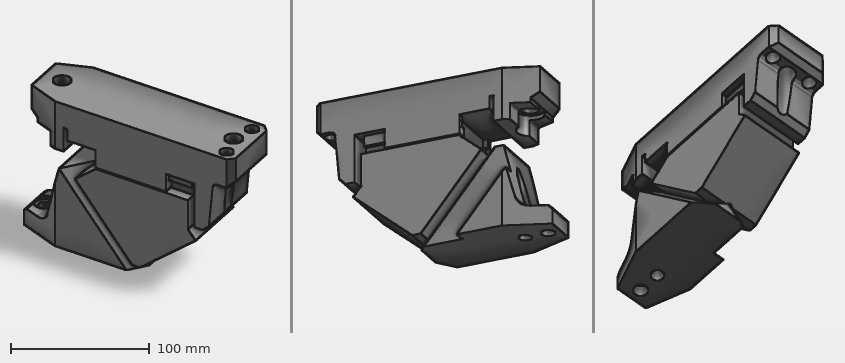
import cadquery as cq
import math

LENGTH = 184.0
WIDTH = 52.0
HEIGHT = 125.0
FRONT_WIDTH = 27.2
TAPER_LENGTH = 34.0
SLIDE_ANGLE = math.radians(50.0)
ROOF_ANGLE = math.radians(30.0)
FAR = 2 * LENGTH

BASE_LENGTH = 104.9
BASE_TOP = 68.0
SLIDE_FOOT_X = 94.4
FOOT_HEIGHT = 14.9
FOOT_CHAMFER_X = 3.0
FOOT_CHAMFER_Z = 2.5
FRONT_FOOT_X = 23.4
FRONT_FILLET = 11.0
NOTCH_DEPTH_X = 24.1
NOTCH_WALL_Y = 17.0
FOOT_BOLT_X = 9.8
FOOT_BOLT_DIAMETER = 10.7
FOOT_BORE_DIAMETER = 17.1
FOOT_BORE_FLOOR = 12.0
STEEP_BOLT_X = 28.2
STEEP_BOLT_DIAMETER = 9.8
STEEP_BORE_DIAMETER = 12.0
STEEP_BORE_FLOOR = 14.5

SLIDER_OFFSET = 7.5
SLIDER_CORNER_Z = 63.7
SLIDER_TOP = 78.4
SLIDER_END_X = 146.5
SLIDER_BOTTOM = 6.3
SLIDER_BOTTOM_LENGTH = 7.0
NOSE_Z = 45.6
RAIL_START_X = 71.5
RAIL_NECK_WIDTH = 35.9
RAIL_HEAD_WIDTH = 42.3
RAIL_HEAD_BOTTOM = 86.5

HOLDER_START_X = 8.5
HOLDER_END_CHAMFER = 5.0
BODY_BOTTOM = 94.5
ENDS_BOTTOM = 100.3
LIP_BOTTOM = 104.9
FRONT_STEP_X = 14.9
FRONT_STEP_Z = 96.8
FRONT_STEP_FILLET = 1.1
FRONT_HOOK_X = 28.9
FRONT_HOOK_BOTTOM = 84.0
RELIEF_START_X = 41.0
RELIEF_END_X = 44.3
RELIEF_TOP = 104.3
RELIEF_FILLET = 1.0
JAW_START_X = 68.0
JAW_END_X = 127.9
JAW_BOTTOM = 79.5
RAIL_SIDE_GAP = 0.7
REAR_HOOK_X = 151.8
REAR_HOOK_BOTTOM = 57.0
REAR_HOOK_BOTTOM_LENGTH = 7.4
REAR_HOOK_CHAMFER = 5.0
REAR_HOOK_TOP_X = 167.6
REAR_HOOK_FILLET = 4.2
MAIN_BOLT_DIAMETER = 13.5
FRONT_BOLT_X = 24.0
FRONT_BORE_DIAMETER = 20.8
REAR_BOLT_X = 169.1
SIDE_BOLT_X = 173.9
SIDE_BOLT_Y = 17.5
SIDE_BOLT_DIAMETER = 10.3


def half_width(x):
    """Half of the width that base and holder share at a given X."""
    return (FRONT_WIDTH + (WIDTH - FRONT_WIDTH) * min(x / TAPER_LENGTH, 1.0)) / 2


def side_profile(points):
    """A side outline in XZ extruded across the full width."""
    return cq.Workplane("XZ").polyline(points).close().extrude(WIDTH / 2, both=True)


def plan_prism(upper_points):
    """A tall prism from the +Y half of a plan outline that is symmetric about Y = 0."""
    lower_points = [(x, -y) for x, y in reversed(upper_points)]
    return cq.Workplane("XY").polyline(upper_points + lower_points).close().extrude(HEIGHT)


def box(x_range, y_range, z_range):
    """An axis-aligned block between the given limits."""
    size = [high - low for low, high in (x_range, y_range, z_range)]
    corner = (x_range[0], y_range[0], z_range[0])
    return cq.Workplane("XY").box(*size, centered=False).translate(corner)


def bore(x, y, diameter, bottom, top):
    """A vertical cylinder used to cut holes."""
    return cq.Workplane("XY", origin=(x, y, bottom)).circle(diameter / 2).extrude(top - bottom)


def guide_prism():
    """The inclined roof-shaped guide and everything below it."""
    uphill = (-math.cos(SLIDE_ANGLE), 0, math.sin(SLIDE_ANGLE))
    section = cq.Plane(origin=(SLIDE_FOOT_X, 0, 0), xDir=(0, -1, 0), normal=uphill)
    ridge = WIDTH / 2 * math.tan(ROOF_ANGLE)
    half = WIDTH / 2
    outline = [(-half, -FAR), (half, -FAR), (half, 0), (0, ridge), (-half, 0)]
    return cq.Workplane(section).polyline(outline).close().extrude(FAR, both=True)


def make_base():
    top_x = SLIDE_FOOT_X - BASE_TOP / math.tan(SLIDE_ANGLE)
    block = side_profile([
        (0, 0),
        (BASE_LENGTH, 0),
        (BASE_LENGTH, BASE_TOP),
        (top_x, BASE_TOP),
        (FRONT_FOOT_X, FOOT_HEIGHT),
        (FOOT_CHAMFER_X, FOOT_HEIGHT),
        (0, FOOT_HEIGHT - FOOT_CHAMFER_Z),
    ])
    front_corner = cq.selectors.NearestToPointSelector((FRONT_FOOT_X, 0, FOOT_HEIGHT))
    block = block.edges("|Y").edges(front_corner).fillet(FRONT_FILLET)

    plan = plan_prism([
        (0, half_width(0)),
        (TAPER_LENGTH, WIDTH / 2),
        (BASE_LENGTH, WIDTH / 2),
    ])
    base = block.intersect(plan).intersect(guide_prism())

    notch_foot_x = SLIDE_FOOT_X - NOTCH_DEPTH_X
    notch_side = cq.Workplane("XZ", origin=(0, WIDTH, 0)).polyline([
        (notch_foot_x, 0),
        (FAR, 0),
        (FAR, HEIGHT),
        (notch_foot_x - HEIGHT / math.tan(SLIDE_ANGLE), HEIGHT),
    ]).close()
    base = base.cut(notch_side.extrude(WIDTH - NOTCH_WALL_Y))

    base = base.cut(bore(FOOT_BOLT_X, 0, FOOT_BOLT_DIAMETER, 0, HEIGHT))
    base = base.cut(bore(FOOT_BOLT_X, 0, FOOT_BORE_DIAMETER, FOOT_BORE_FLOOR, HEIGHT))
    base = base.cut(bore(STEEP_BOLT_X, 0, STEEP_BOLT_DIAMETER, 0, HEIGHT))
    return base.cut(bore(STEEP_BOLT_X, 0, STEEP_BORE_DIAMETER, STEEP_BORE_FLOOR, HEIGHT))


def make_slider():
    def sole_x(z):
        """X of the slider's inclined underside at height z."""
        return SLIDE_FOOT_X - z / math.tan(SLIDE_ANGLE) + SLIDER_OFFSET / math.sin(SLIDE_ANGLE)

    upper_end_x = sole_x(SLIDER_CORNER_Z) + (SLIDER_TOP - SLIDER_CORNER_Z) * math.tan(SLIDE_ANGLE)
    lower_end_x = sole_x(SLIDER_BOTTOM) + SLIDER_BOTTOM_LENGTH
    nose_x = lower_end_x + (NOSE_Z - SLIDER_BOTTOM) * math.tan(SLIDE_ANGLE)
    block = side_profile([
        (sole_x(SLIDER_CORNER_Z), SLIDER_CORNER_Z),
        (sole_x(SLIDER_BOTTOM), SLIDER_BOTTOM),
        (lower_end_x, SLIDER_BOTTOM),
        (nose_x, NOSE_Z),
        (SLIDER_END_X, NOSE_Z + (nose_x - SLIDER_END_X) * math.tan(SLIDE_ANGLE)),
        (SLIDER_END_X, SLIDER_TOP),
        (upper_end_x, SLIDER_TOP),
    ])
    rail_x = (RAIL_START_X, SLIDER_END_X)
    neck_y = (-RAIL_NECK_WIDTH / 2, RAIL_NECK_WIDTH / 2)
    head_y = (-RAIL_HEAD_WIDTH / 2, RAIL_HEAD_WIDTH / 2)
    neck = box(rail_x, neck_y, (SLIDER_TOP, RAIL_HEAD_BOTTOM))
    head = box(rail_x, head_y, (RAIL_HEAD_BOTTOM, BODY_BOTTOM))
    return block.cut(guide_prism()).union(neck).union(head)


def make_holder():
    hook_end_x = REAR_HOOK_X + REAR_HOOK_BOTTOM_LENGTH
    block = side_profile([
        (HOLDER_START_X, HEIGHT),
        (HOLDER_START_X, LIP_BOTTOM),
        (FRONT_STEP_X, ENDS_BOTTOM),
        (FRONT_STEP_X, FRONT_STEP_Z),
        (FRONT_HOOK_X, FRONT_STEP_Z),
        (FRONT_HOOK_X, FRONT_HOOK_BOTTOM),
        (RELIEF_START_X, FRONT_HOOK_BOTTOM),
        (RELIEF_START_X, RELIEF_TOP),
        (RELIEF_END_X, RELIEF_TOP),
        (RELIEF_END_X, BODY_BOTTOM),
        (JAW_START_X, BODY_BOTTOM),
        (JAW_START_X, JAW_BOTTOM),
        (JAW_END_X, JAW_BOTTOM),
        (JAW_END_X, BODY_BOTTOM),
        (REAR_HOOK_X, BODY_BOTTOM),
        (REAR_HOOK_X, REAR_HOOK_BOTTOM),
        (hook_end_x, REAR_HOOK_BOTTOM),
        (hook_end_x + REAR_HOOK_CHAMFER, REAR_HOOK_BOTTOM + REAR_HOOK_CHAMFER),
        (REAR_HOOK_TOP_X, ENDS_BOTTOM),
        (LENGTH - HOLDER_END_CHAMFER, ENDS_BOTTOM),
        (LENGTH, LIP_BOTTOM),
        (LENGTH, HEIGHT),
    ])
    rounded_corners = [
        (FRONT_HOOK_X, FRONT_STEP_Z, FRONT_STEP_FILLET),
        (RELIEF_END_X, RELIEF_TOP, RELIEF_FILLET),
        (REAR_HOOK_TOP_X, ENDS_BOTTOM, REAR_HOOK_FILLET),
    ]
    for x, z, radius in rounded_corners:
        corner = cq.selectors.NearestToPointSelector((x, 0, z))
        block = block.edges("|Y").edges(corner).fillet(radius)

    plan = plan_prism([
        (HOLDER_START_X, half_width(HOLDER_START_X)),
        (TAPER_LENGTH, WIDTH / 2),
        (LENGTH - HOLDER_END_CHAMFER, WIDTH / 2),
        (LENGTH, WIDTH / 2 - HOLDER_END_CHAMFER),
    ])
    holder = block.intersect(plan)

    jaw_x = (JAW_START_X, JAW_END_X)
    neck_half = RAIL_NECK_WIDTH / 2 + RAIL_SIDE_GAP
    head_half = RAIL_HEAD_WIDTH / 2 + RAIL_SIDE_GAP
    holder = holder.cut(box(jaw_x, (-neck_half, neck_half), (JAW_BOTTOM, RAIL_HEAD_BOTTOM)))
    holder = holder.cut(box(jaw_x, (-head_half, head_half), (RAIL_HEAD_BOTTOM, BODY_BOTTOM)))

    holder = holder.cut(bore(FRONT_BOLT_X, 0, MAIN_BOLT_DIAMETER, 0, HEIGHT))
    holder = holder.cut(bore(FRONT_BOLT_X, 0, FRONT_BORE_DIAMETER, 0, ENDS_BOTTOM))
    holder = holder.cut(bore(REAR_BOLT_X, 0, MAIN_BOLT_DIAMETER, 0, HEIGHT))
    for y in (-SIDE_BOLT_Y, SIDE_BOLT_Y):
        holder = holder.cut(bore(SIDE_BOLT_X, y, SIDE_BOLT_DIAMETER, 0, HEIGHT))
    return holder


base = make_base()
slider = make_slider()
holder = make_holder()
result = cq.Compound.makeCompound([base.solids().val(), slider.solids().val(), holder.solids().val()])